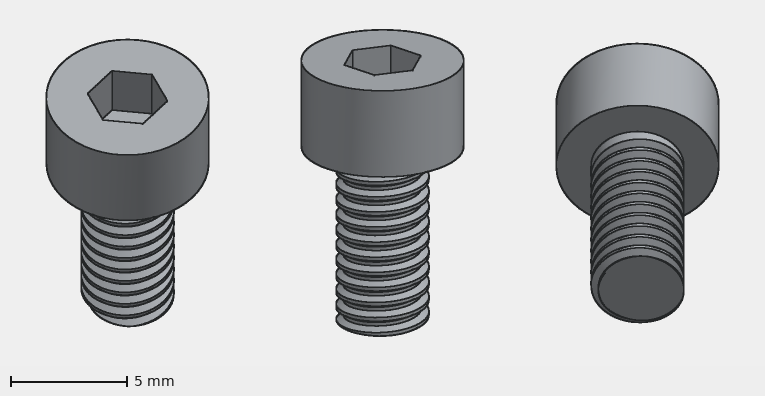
import cadquery as cq
import math

total_length = 12.0
head_diameter = 7.0
head_height = total_length / 3
shank_length = total_length - head_height
shank_radius = shank_length / 4

socket_across_flats = 3.0
socket_depth = 2.4

pitch_to_radius = 0.35
thread_pitch = pitch_to_radius * shank_radius
thread_depth = 0.31
groove_root_width = 0.17
flank_half_angle = 30.0
groove_end_angle = 191.5
groove_turns = 13
cutter_overhang = 0.12
cut_tolerance = 0.001

root_radius = shank_radius - thread_depth
flank_rise = thread_depth * math.tan(math.radians(flank_half_angle))
root_half = groove_root_width / 2
mouth_half = root_half + flank_rise


def make_groove_cutter():
    """Helical cutter whose upper end just touches the underside of the head."""
    helix_height = thread_pitch * groove_turns
    helix = cq.Wire.makeHelix(thread_pitch, helix_height, root_radius)
    outer_radius = shank_radius + cutter_overhang
    profile = (
        cq.Workplane("XZ")
        .moveTo(root_radius, -root_half)
        .lineTo(shank_radius, -mouth_half)
        .lineTo(outer_radius, -mouth_half)
        .lineTo(outer_radius, mouth_half)
        .lineTo(shank_radius, mouth_half)
        .lineTo(root_radius, root_half)
        .close()
    )
    cutter = profile.sweep(cq.Workplane(helix), isFrenet=True)
    upper_end_height = shank_length - mouth_half
    return cutter.rotate((0, 0, 0), (0, 0, 1), groove_end_angle).translate(
        (0, 0, upper_end_height - helix_height)
    )


def make_shank():
    blank = cq.Workplane("XY").circle(shank_radius).extrude(shank_length)
    return blank.cut(make_groove_cutter(), tol=cut_tolerance)


def make_head():
    """Plain cylindrical head with a hexagon socket, two corners on the Y axis."""
    head = cq.Workplane("XY").workplane(offset=shank_length).circle(head_diameter / 2).extrude(head_height)
    across_corners = socket_across_flats / math.cos(math.radians(30))
    socket = (
        cq.Workplane("XY")
        .workplane(offset=total_length - socket_depth)
        .polygon(6, across_corners)
        .extrude(socket_depth)
        .rotate((0, 0, 0), (0, 0, 1), 30)
    )
    return head.cut(socket)


result = make_shank().union(make_head())